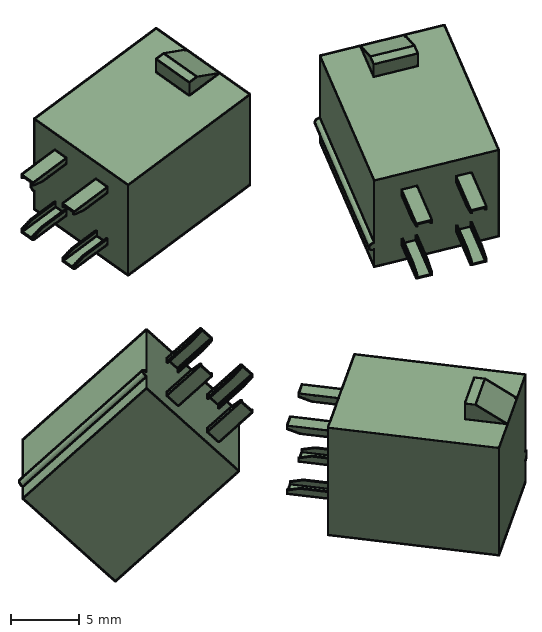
import cadquery as cq

BODY_WIDTH = 9.6
BODY_DEPTH = 12.8
BODY_HEIGHT = 9.6

LATCH_WIDTH = 3.4
LATCH_DEPTH = 3.2
LATCH_HEIGHT = 1.4
LATCH_FLAT = 0.8

RIB_RADIUS = 0.4
RIB_HEIGHT_ABOVE_BASE = 2.3

PIN_LENGTH = 3.5
PIN_WIDTH = 1.2
PIN_HEIGHT = 0.6
PIN_WALL = 0.1
PIN_TIP_HEIGHT = 0.3
PIN_TAPER_LENGTH = 1.0
PIN_PITCH = 4.2
PIN_ROW_SPAN = 6.1

BODY_TOP = BODY_HEIGHT / 2


def make_body():
    return cq.Workplane("XY").box(BODY_WIDTH, BODY_DEPTH, BODY_HEIGHT).translate((0, BODY_DEPTH / 2, 0))


def make_latch():
    """Wedge that ramps up from the back edge to a flat crest with a vertical front."""
    front = BODY_DEPTH - LATCH_DEPTH
    crest = BODY_TOP + LATCH_HEIGHT
    profile = [
        (BODY_DEPTH, BODY_TOP),
        (front, BODY_TOP),
        (front, crest),
        (front + LATCH_FLAT, crest),
    ]
    return cq.Workplane("YZ").polyline(profile).close().extrude(LATCH_WIDTH / 2, both=True)


def make_rib():
    """Full-length rod centred on the left face, so half of it stands proud."""
    return (
        cq.Workplane("XZ")
        .center(-BODY_WIDTH / 2, RIB_HEIGHT_ABOVE_BASE - BODY_HEIGHT / 2)
        .circle(RIB_RADIUS)
        .extrude(-BODY_DEPTH)
    )


def make_upper_pin(x):
    """Channel with its web on top and side walls that taper towards the tip."""
    top = PIN_ROW_SPAN / 2
    bottom = top - PIN_HEIGHT
    side_profile = [
        (0, top),
        (-PIN_LENGTH, top),
        (-PIN_LENGTH, top - PIN_TIP_HEIGHT),
        (PIN_TAPER_LENGTH - PIN_LENGTH, bottom),
        (0, bottom),
    ]
    blade = cq.Workplane("YZ").polyline(side_profile).close().extrude(PIN_WIDTH / 2, both=True)
    channel = (
        cq.Workplane("XY")
        .box(PIN_WIDTH - 2 * PIN_WALL, PIN_LENGTH, PIN_HEIGHT)
        .translate((0, -PIN_LENGTH / 2, bottom - PIN_WALL + PIN_HEIGHT / 2))
    )
    return blade.cut(channel).translate((x, 0, 0))


result = make_body().union(make_latch()).union(make_rib())
for pin_x in (-PIN_PITCH / 2, PIN_PITCH / 2):
    upper_pin = make_upper_pin(pin_x)
    lower_pin = upper_pin.mirror("XY")
    result = result.union(upper_pin).union(lower_pin)